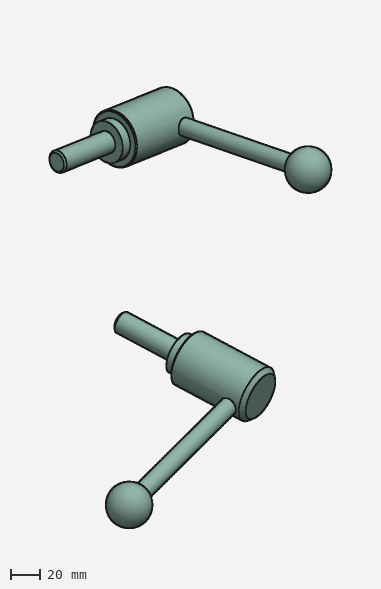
import cadquery as cq

overall_length = 171.0

body_diameter = 41.0
body_length = 61.0
back_chamfer = 3.5
front_chamfer = 0.9
collar_diameter = 30.0
collar_length = 7.5

stud_diameter = 16.0
stud_length = 50.0
stud_chamfer = 1.4

rod_diameter = 13.0
rod_inset = 12.1
ball_diameter = 32.0
ball_flat_offset = 12.8

body_radius = body_diameter / 2
ball_radius = ball_diameter / 2
ball_center_x = overall_length - body_radius - ball_radius


def cylinder_toward_front(start_y, diameter, length):
    """Cylinder on the Y axis running from start_y toward -Y."""
    plane = cq.Workplane("XZ", origin=(0, start_y, 0))
    return plane.circle(diameter / 2).extrude(length)


def make_body():
    body = cylinder_toward_front(rod_inset, body_diameter, body_length)
    body = body.faces(">Y").chamfer(back_chamfer)
    return body.faces("<Y").chamfer(front_chamfer)


def make_stud():
    body_front = rod_inset - body_length
    collar_front = body_front - collar_length
    collar = cylinder_toward_front(body_front, collar_diameter, collar_length)
    stud = cylinder_toward_front(collar_front, stud_diameter, stud_length)
    return collar.union(stud.faces("<Y").chamfer(stud_chamfer))


def make_handle():
    rod = cq.Workplane("YZ").circle(rod_diameter / 2).extrude(ball_center_x)
    flat_x = ball_center_x - ball_flat_offset
    keep_length = ball_flat_offset + ball_radius
    keep_side = (
        cq.Workplane("YZ", origin=(flat_x, 0, 0))
        .rect(ball_diameter, ball_diameter)
        .extrude(keep_length)
    )
    ball = cq.Workplane("XY", origin=(ball_center_x, 0, 0)).sphere(ball_radius)
    return rod.union(ball.intersect(keep_side))


result = make_body().union(make_stud()).union(make_handle())